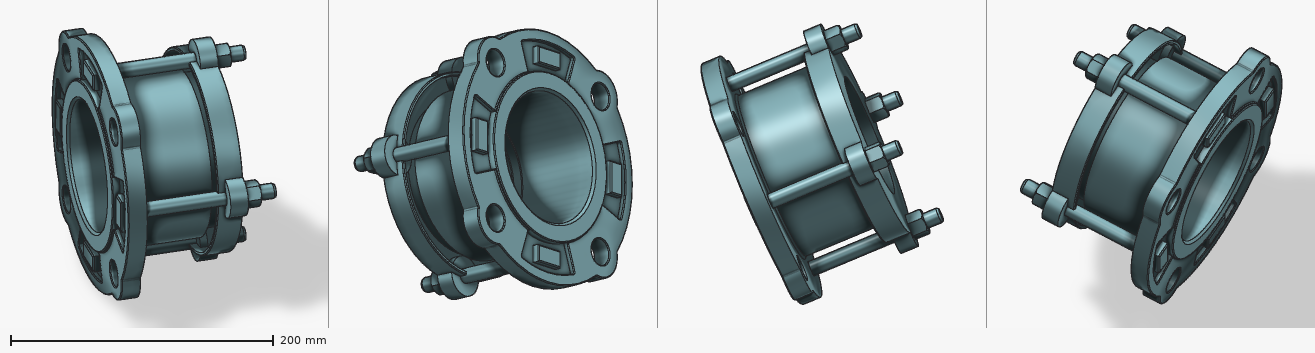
import cadquery as cq
import math

BOLT_COUNT = 4
BOLT_CIRCLE_R = 78.7
QUARTER_TURN = 360 / BOLT_COUNT

FLANGE_R = 99.6
FLANGE_FRONT_Y = 2.4
FLANGE_BACK_Y = 17.5
FLANGE_EDGE_CHAMFER = 0.8
EAR_R = 20.5
EAR_HOLE_R = 10.4
EAR_CIRCLE_R = 87.0
EAR_FIRST_ANGLE = 45
EAR_NOTCH_FILLET = 2.0

POCKET_OUTER_R = 90.9
POCKET_HALF_ANGLE = 20
POCKET_INNER_R = 59.8
POCKET_CORNER_R = 1.5
POCKET_RIM_CHAMFER = 0.8
POCKET_FLOOR_Y = 6.4

SLEEVE_R = 66.5
SLEEVE_BACK_Y = 79.3
COLLAR_CHAMFER = 0.8
FRONT_FOOT = 0.8
BACK_FOOT = 1.8
BORE_R = 103.0 / 2
BORE_MOUTH_CHAMFER = 2.0
STEP_R = 100.0 / 2
STEP_Y = 71.7
REAR_BORE_R = 97.0 / 2

RING_R = 80.5
RING_FRONT_Y = 79.5
RING_BACK_Y = 99.8
RING_CHAMFER = 0.8
HUB_R = 120.0 / 2
GROOVE_R = 78.0
GROOVE_FLOOR_Y = 91.7
LUG_R = 15.7
LUG_FRONT_Y = 85.7

SHANK_R = 11.8 / 2
THREAD_R = 12.0 / 2
TIP_R = 10.2 / 2
TIP_Y = 125.3
TIP_CHAMFER_LENGTH = 1.8
HEAD_LENGTH = 26.0
HEAD_WIDTH = 13.5
HEAD_FRONT_Y = 0.8
HEAD_CHAMFER = 1.0
NUT_ACROSS_FLATS = 18.0
NUT_BACK_Y = 112.4
NUT_CHAMFER = 1.2


def plane_at(y):
    """Workplane at height y along Y, with local x on X and local y on Z."""
    return cq.Workplane("XZ", origin=(0, y, 0))


def disc(radius, start_y, end_y, center_r=0.0):
    """Cylinder along Y, placed at center_r on the X axis."""
    return plane_at(start_y).center(center_r, 0).circle(radius).extrude(start_y - end_y)


def turn(body, angle):
    return body.rotate((0, 0, 0), (0, 1, 0), angle)


def quarter_turns(body, first_angle=0):
    """Copies of a body, spaced evenly around the Y axis."""
    return [turn(body, first_angle + QUARTER_TURN * index) for index in range(BOLT_COUNT)]


def make_flange():
    flange = disc(FLANGE_R, FLANGE_FRONT_Y, FLANGE_BACK_Y)
    ear = disc(EAR_R, FLANGE_FRONT_Y, FLANGE_BACK_Y, EAR_CIRCLE_R)
    for copy in quarter_turns(ear, EAR_FIRST_ANGLE):
        flange = flange.union(copy)
    flange = flange.edges("|Y").fillet(EAR_NOTCH_FILLET)

    hole = disc(EAR_HOLE_R, FLANGE_FRONT_Y, FLANGE_BACK_Y, EAR_CIRCLE_R)
    for copy in quarter_turns(hole, EAR_FIRST_ANGLE):
        flange = flange.cut(copy)
    return flange.faces("<Y").edges().chamfer(FLANGE_EDGE_CHAMFER)


def polar(radius, angle):
    return (radius * math.cos(math.radians(angle)), radius * math.sin(math.radians(angle)))


def pocket_outline(start_y, growth):
    """Sector outline centred on +X, with rounded outer corners, grown on all sides."""
    return (
        plane_at(start_y)
        .moveTo(*polar(POCKET_INNER_R, POCKET_HALF_ANGLE))
        .lineTo(*polar(POCKET_INNER_R, -POCKET_HALF_ANGLE))
        .lineTo(*polar(POCKET_OUTER_R, -POCKET_HALF_ANGLE))
        .threePointArc((POCKET_OUTER_R, 0), polar(POCKET_OUTER_R, POCKET_HALF_ANGLE))
        .close()
        .offset2D(-POCKET_CORNER_R)
        .offset2D(POCKET_CORNER_R + growth)
    )


def make_pocket():
    """Pocket for a bolt head, with a chamfered rim; it also clears the foot in front of the flange."""
    front_y = FLANGE_FRONT_Y - FRONT_FOOT
    pocket = pocket_outline(front_y, 0).extrude(front_y - POCKET_FLOOR_Y)
    rim = pocket_outline(FLANGE_FRONT_Y, POCKET_RIM_CHAMFER).extrude(-POCKET_RIM_CHAMFER, taper=45)
    return pocket.union(rim)


def make_foot(size, face_y, direction):
    """Conical foot that leads from a flange face at face_y to the sleeve."""
    axis = cq.Vector(0, direction, 0)
    foot = cq.Solid.makeCone(SLEEVE_R + size, SLEEVE_R, size, cq.Vector(0, face_y, 0), axis)
    return cq.Workplane("XY").add(foot)


def make_sleeve():
    """Tube from the collar to the clamp ring, without its bore."""
    return disc(SLEEVE_R, 0, SLEEVE_BACK_Y).faces("<Y").chamfer(COLLAR_CHAMFER)


def make_bore():
    """Stepped bore with a chamfered mouth, as a turned profile of (radius, y) points."""
    return (
        cq.Workplane("XY")
        .moveTo(0, 0)
        .lineTo(BORE_R + BORE_MOUTH_CHAMFER, 0)
        .lineTo(BORE_R, BORE_MOUTH_CHAMFER)
        .lineTo(BORE_R, STEP_Y)
        .lineTo(STEP_R, STEP_Y)
        .lineTo(STEP_R, SLEEVE_BACK_Y)
        .lineTo(REAR_BORE_R, SLEEVE_BACK_Y)
        .lineTo(REAR_BORE_R, RING_BACK_Y)
        .lineTo(0, RING_BACK_Y)
        .close()
        .revolve(360, (0, 0, 0), (0, 1, 0))
    )


def make_ring():
    """Clamp ring with a deep groove around its hub and four bolt lugs."""
    ring = disc(RING_R, RING_FRONT_Y, RING_BACK_Y).faces("<Y").chamfer(RING_CHAMFER)
    ring = ring.cut(disc(GROOVE_R, RING_FRONT_Y, GROOVE_FLOOR_Y))
    ring = ring.union(disc(HUB_R, SLEEVE_BACK_Y, RING_BACK_Y))
    lug = disc(LUG_R, LUG_FRONT_Y, RING_BACK_Y, BOLT_CIRCLE_R)
    for copy in quarter_turns(lug):
        ring = ring.union(copy)
    return ring


def make_coupling():
    coupling = make_flange()
    coupling = coupling.union(make_foot(FRONT_FOOT, FLANGE_FRONT_Y, -1))
    coupling = coupling.union(make_foot(BACK_FOOT, FLANGE_BACK_Y, 1))
    for pocket in quarter_turns(make_pocket()):
        coupling = coupling.cut(pocket)
    coupling = coupling.union(make_ring()).union(make_sleeve()).cut(make_bore())
    for bolt in quarter_turns(make_bolt()):
        coupling = coupling.cut(bolt)
    return coupling


def make_bolt():
    """T-bolt with its nut, on the +X side; the long side of the head lies across the radius."""
    head = (
        plane_at(HEAD_FRONT_Y)
        .center(BOLT_CIRCLE_R, 0)
        .rect(HEAD_WIDTH, HEAD_LENGTH)
        .extrude(HEAD_FRONT_Y - POCKET_FLOOR_Y)
        .faces("<Y")
        .chamfer(HEAD_CHAMFER)
    )
    shank = disc(SHANK_R, POCKET_FLOOR_Y, RING_BACK_Y, BOLT_CIRCLE_R)
    thread = disc(THREAD_R, RING_BACK_Y, TIP_Y, BOLT_CIRCLE_R)
    thread = thread.faces(">Y").chamfer(TIP_CHAMFER_LENGTH, THREAD_R - TIP_R)
    return head.union(shank).union(thread).union(make_nut())


def make_nut():
    """Hexagon nut with two corners on the radius and its back corners turned off."""
    corner_r = NUT_ACROSS_FLATS / math.sqrt(3)
    nut = (
        plane_at(RING_BACK_Y)
        .center(BOLT_CIRCLE_R, 0)
        .polygon(6, 2 * corner_r)
        .extrude(RING_BACK_Y - NUT_BACK_Y)
    )
    turned_blank = disc(corner_r, RING_BACK_Y, NUT_BACK_Y, BOLT_CIRCLE_R)
    return nut.intersect(turned_blank.faces(">Y").chamfer(NUT_CHAMFER))


coupling = make_coupling()
bolts = quarter_turns(make_bolt())

result = cq.Compound.makeCompound([coupling.val()] + [bolt.val() for bolt in bolts])